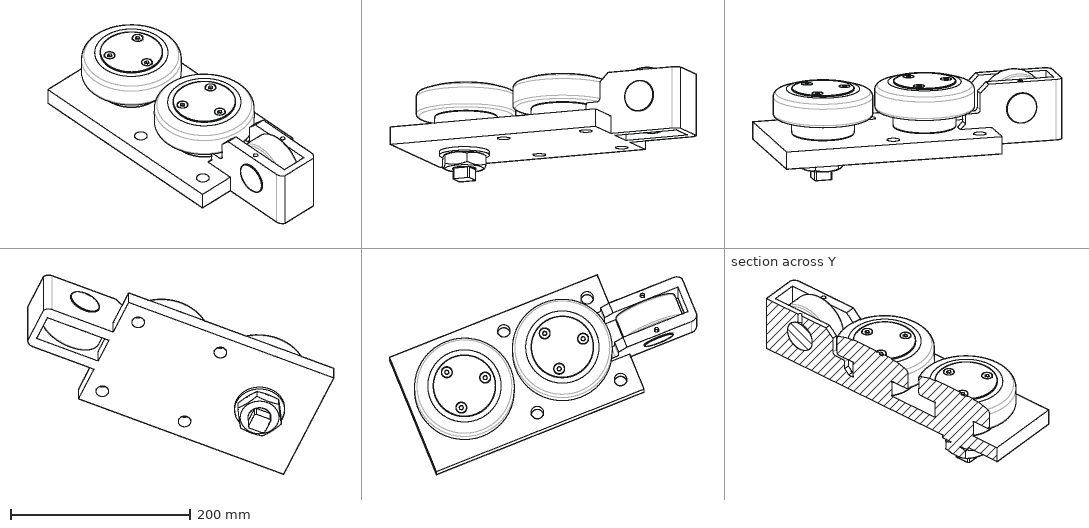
import cadquery as cq
import math


HEXAGON_SIDES = 6

PLATE_LENGTH = 250.0
PLATE_WIDTH = 140.0
PLATE_THICKNESS = 20.0
MOUNT_HOLE_DIAMETER = 14.0
MOUNT_HOLE_XS = (129.5, 229.8)
MOUNT_HOLE_Y = 50.0

WHEEL_XS = (62.0, 179.8)
SLEEVE_DIAMETERS = (70.0, 70.5)
WHEEL_RADIUS = 56.0
WHEEL_CROWN = 0.15
WHEEL_BOTTOM = 40.0
WHEEL_LOWER_FILLET = 3.0
TREAD_TOP = 62.0
SHOULDER_RADIUS = 53.0
SHOULDER_HEIGHT = 67.0
RIM_RADIUS = 41.0
RIM_HEIGHT = 71.0
SLEEVE_CHAMFER_WIDTH = 0.5
SLEEVE_CHAMFER_HEIGHT = 1.0
CAP_RADIUS = 35.0
CAP_TOP = 72.3
CAP_CHAMFER = 0.5

SCREW_COUNT = 3
SCREW_CIRCLE_RADIUS = 25.0
SCREW_RECESS_DIAMETER = 12.3
SCREW_HEAD_DIAMETER = 11.5
SCREW_RECESS_DEPTH = 1.5
SOCKET_DIAMETER = 5.0
SOCKET_DEPTH = 2.5

STUD_ECCENTRICITY = 2.0
STUD_X = WHEEL_XS[0] - STUD_ECCENTRICITY
WASHER_DIAMETER = 56.0
WASHER_THICKNESS = 4.0
NUT_ACROSS_FLATS = 46.0
NUT_BOTTOM = -19.3
NUT_CHAMFER_INSET = 1.3
NUT_CHAMFER_RADIUS = NUT_ACROSS_FLATS / 2 - NUT_CHAMFER_INSET
NUT_CHAMFER_ANGLE = 30
STUD_DIAMETER = 26.0
STUD_COLLAR_BOTTOM = -20.0
STUD_BOTTOM = -32.0
STUD_SQUARE = 20.0

FORK_END = 333.0
FORK_WIDTH = 54.0
FORK_TOP = 70.0
FORK_LEFT = 236.8
FORK_CHAMFER = 10.0
FORK_END_ROUND_LENGTH = 8.3
FORK_END_ROUND_DEPTH = 5.0
FORK_END_WALL = 8.0
SLOT_WIDTH = 30.0
FOOT_LEFT = 219.8
FOOT_TOP = 37.3
FOOT_CHAMFER_TOP = 26.0
FOOT_INNER_FILLET = 4.0
FOOT_OUTER_FILLET = 2.0
SET_SCREW_HOLE_DIAMETER = 5.0

AXLE_X = 284.7
AXLE_Z = 40.0
AXLE_DIAMETER = 35.0
AXLE_OVERHANG = 1.3
AXLE_CHAMFER = 0.5
ROLLER_DIAMETER = 71.0
ROLLER_CROWN = 0.15
ROLLER_WIDTH = 28.0
ROLLER_FILLET = 1.5


def make_plate():
    plate = cq.Workplane("XY").box(
        PLATE_LENGTH, PLATE_WIDTH, PLATE_THICKNESS, centered=(False, True, False)
    )
    hole_places = [(x, y) for x in MOUNT_HOLE_XS for y in (-MOUNT_HOLE_Y, MOUNT_HOLE_Y)]
    holes = (
        cq.Workplane("XY").pushPoints(hole_places).circle(MOUNT_HOLE_DIAMETER / 2).extrude(PLATE_THICKNESS)
    )
    return plate.cut(holes)


def make_sleeve(diameter):
    """A spacer sleeve around the Z axis, between plate and wheel, with both rims chamfered."""
    radius = diameter / 2
    rim_radius = radius - SLEEVE_CHAMFER_WIDTH
    return (
        cq.Workplane("XZ")
        .moveTo(0, PLATE_THICKNESS)
        .lineTo(rim_radius, PLATE_THICKNESS)
        .lineTo(radius, PLATE_THICKNESS + SLEEVE_CHAMFER_HEIGHT)
        .lineTo(radius, WHEEL_BOTTOM - SLEEVE_CHAMFER_HEIGHT)
        .lineTo(rim_radius, WHEEL_BOTTOM)
        .lineTo(0, WHEEL_BOTTOM)
        .close()
        .revolve(360, (0, 0, 0), (0, 1, 0))
    )


def make_wheel():
    """A crowned wheel around the Z axis, with its raised cap."""
    tread_end_radius = WHEEL_RADIUS - WHEEL_CROWN
    tread_bottom = WHEEL_BOTTOM + WHEEL_LOWER_FILLET
    wheel = (
        cq.Workplane("XZ")
        .moveTo(0, WHEEL_BOTTOM)
        .lineTo(tread_end_radius - WHEEL_LOWER_FILLET, WHEEL_BOTTOM)
        .tangentArcPoint((tread_end_radius, tread_bottom), relative=False)
        .threePointArc((WHEEL_RADIUS, (tread_bottom + TREAD_TOP) / 2), (tread_end_radius, TREAD_TOP))
        .tangentArcPoint((SHOULDER_RADIUS, SHOULDER_HEIGHT), relative=False)
        .lineTo(RIM_RADIUS, RIM_HEIGHT)
        .lineTo(CAP_RADIUS, RIM_HEIGHT)
        .lineTo(CAP_RADIUS, CAP_TOP - CAP_CHAMFER)
        .lineTo(CAP_RADIUS - CAP_CHAMFER, CAP_TOP)
        .lineTo(0, CAP_TOP)
        .close()
        .revolve(360, (0, 0, 0), (0, 1, 0))
    )
    return wheel.cut(make_screw_gaps())


def make_screw_gaps():
    """The ring gap around each screw head and its hexagon socket."""
    screw_places = (
        cq.Workplane("XY")
        .workplane(offset=CAP_TOP)
        .transformed(rotate=(0, 0, 90))
        .polarArray(SCREW_CIRCLE_RADIUS, -90, 360, SCREW_COUNT, rotate=False)
    )
    rings = (
        screw_places
        .circle(SCREW_RECESS_DIAMETER / 2)
        .circle(SCREW_HEAD_DIAMETER / 2)
        .extrude(-SCREW_RECESS_DEPTH)
    )
    sockets = screw_places.polygon(HEXAGON_SIDES, SOCKET_DIAMETER).extrude(-SOCKET_DEPTH)
    return rings.union(sockets)


def make_nut():
    """A hexagon nut below the washer, with corners turned off at both ends."""
    nut_top = -WASHER_THICKNESS
    height = nut_top - NUT_BOTTOM
    corner_diameter = NUT_ACROSS_FLATS / math.cos(math.pi / HEXAGON_SIDES)
    corner_radius = corner_diameter / 2
    drop = (corner_radius - NUT_CHAMFER_RADIUS) * math.tan(math.radians(NUT_CHAMFER_ANGLE))
    hexagon = (
        cq.Workplane("XY")
        .workplane(offset=NUT_BOTTOM)
        .polygon(HEXAGON_SIDES, corner_diameter)
        .extrude(height)
    )
    turned = (
        cq.Workplane("XZ")
        .moveTo(0, NUT_BOTTOM)
        .lineTo(NUT_CHAMFER_RADIUS, NUT_BOTTOM)
        .lineTo(corner_radius, NUT_BOTTOM + drop)
        .lineTo(corner_radius, nut_top - drop)
        .lineTo(NUT_CHAMFER_RADIUS, nut_top)
        .lineTo(0, nut_top)
        .close()
        .revolve(360, (0, 0, 0), (0, 1, 0))
    )
    return hexagon.intersect(turned)


def make_clamping_stud():
    """Washer, nut and stud end with a square for a wrench."""
    washer = cq.Workplane("XY").circle(WASHER_DIAMETER / 2).extrude(-WASHER_THICKNESS)
    collar = cq.Workplane("XY").circle(STUD_DIAMETER / 2).extrude(STUD_COLLAR_BOTTOM)
    square = (
        cq.Workplane("XY")
        .rect(STUD_SQUARE, STUD_SQUARE)
        .extrude(STUD_BOTTOM)
        .intersect(cq.Workplane("XY").circle(STUD_DIAMETER / 2).extrude(STUD_BOTTOM))
    )
    return washer.union(make_nut()).union(collar).union(square).translate((STUD_X, 0, 0))


def make_fork():
    """Two arms with a foot on the plate, joined at the far end; the foot's lower end slopes at 45 degrees."""
    foot_tip = FOOT_LEFT - (FOOT_CHAMFER_TOP - PLATE_THICKNESS)
    block = (
        cq.Workplane("XZ")
        .moveTo(PLATE_LENGTH, 0)
        .lineTo(FORK_END, 0)
        .lineTo(FORK_END, FORK_TOP)
        .lineTo(FORK_LEFT + FORK_CHAMFER, FORK_TOP)
        .lineTo(FORK_LEFT, FORK_TOP - FORK_CHAMFER)
        .lineTo(FORK_LEFT, FOOT_TOP + FOOT_INNER_FILLET)
        .radiusArc((FORK_LEFT - FOOT_INNER_FILLET, FOOT_TOP), FOOT_INNER_FILLET)
        .lineTo(FOOT_LEFT + FOOT_OUTER_FILLET, FOOT_TOP)
        .radiusArc((FOOT_LEFT, FOOT_TOP - FOOT_OUTER_FILLET), -FOOT_OUTER_FILLET)
        .lineTo(FOOT_LEFT, FOOT_CHAMFER_TOP)
        .lineTo(foot_tip, PLATE_THICKNESS)
        .lineTo(PLATE_LENGTH, PLATE_THICKNESS)
        .close()
        .extrude(FORK_WIDTH / 2, both=True)
    )
    slot_end = FORK_END - FORK_END_WALL
    slot = cq.Workplane("XY").box(
        slot_end - foot_tip, SLOT_WIDTH, FORK_TOP, centered=(False, True, False)
    ).translate((foot_tip, 0, 0))
    arm_middle = (FORK_WIDTH + SLOT_WIDTH) / 4
    set_screw_holes = (
        cq.Workplane("XY")
        .workplane(offset=AXLE_Z)
        .pushPoints([(AXLE_X, -arm_middle), (AXLE_X, arm_middle)])
        .circle(SET_SCREW_HOLE_DIAMETER / 2)
        .extrude(FORK_TOP - AXLE_Z)
    )
    axle_bore = make_cylinder_along_y(AXLE_DIAMETER, FORK_WIDTH)
    corner = make_fork_corner()
    block = block.cut(corner).cut(corner.mirror("XZ"))
    return block.cut(slot).cut(set_screw_holes).cut(axle_bore)


def make_fork_corner():
    """The waste outside the rounded +Y end edge of the fork; the arc runs smoothly into the side face."""
    side_y = FORK_WIDTH / 2
    arc_radius = (FORK_END_ROUND_LENGTH**2 + FORK_END_ROUND_DEPTH**2) / (2 * FORK_END_ROUND_DEPTH)
    return (
        cq.Workplane("XY")
        .moveTo(FORK_END - FORK_END_ROUND_LENGTH, side_y)
        .radiusArc((FORK_END, side_y - FORK_END_ROUND_DEPTH), arc_radius)
        .lineTo(FORK_END, side_y)
        .close()
        .extrude(FORK_TOP)
    )


def make_cylinder_along_y(diameter, length):
    """A cylinder around the axle line, centred on the middle plane."""
    return (
        cq.Workplane("XZ").center(AXLE_X, AXLE_Z).circle(diameter / 2).extrude(length / 2, both=True)
    )


def make_carrier():
    carrier = make_plate().union(make_fork()).union(make_clamping_stud())
    for x, sleeve_diameter in zip(WHEEL_XS, SLEEVE_DIAMETERS):
        guide_wheel = make_wheel().union(make_sleeve(sleeve_diameter))
        carrier = carrier.union(guide_wheel.translate((x, 0, 0)))
    return carrier


def make_side_roller():
    """A crowned roller in one piece with its axle."""
    half_width = ROLLER_WIDTH / 2
    radius = ROLLER_DIAMETER / 2
    end_radius = radius - ROLLER_CROWN
    roller = (
        cq.Workplane("XY")
        .moveTo(0, -half_width)
        .lineTo(end_radius, -half_width)
        .threePointArc((radius, 0), (end_radius, half_width))
        .lineTo(0, half_width)
        .close()
        .revolve(360, (0, 0, 0), (0, 1, 0))
        .faces("<Y or >Y")
        .edges()
        .fillet(ROLLER_FILLET)
        .translate((AXLE_X, 0, AXLE_Z))
    )
    axle = (
        make_cylinder_along_y(AXLE_DIAMETER, FORK_WIDTH + 2 * AXLE_OVERHANG)
        .faces("<Y or >Y")
        .edges()
        .chamfer(AXLE_CHAMFER)
    )
    return roller.union(axle)


carrier = make_carrier()
side_roller = make_side_roller()
result = cq.Compound.makeCompound([*carrier.solids().vals(), *side_roller.solids().vals()])